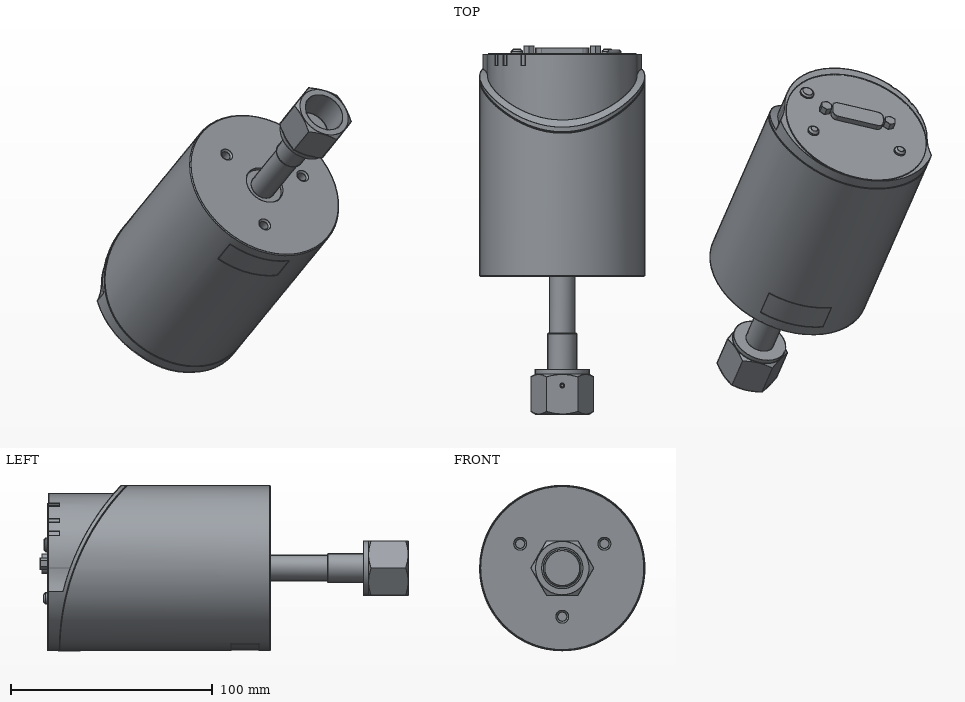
import cadquery as cq
import math


body_diameter = 82.0
body_radius = body_diameter / 2
cap_radius = 37.0
cap_rear = 110.0
flare_drop = 11.5
front_chamfer = 0.5
rim_arc_radius = 119.4
rim_arc_start = 106.6
rim_width = 1.8
seam_width = 0.4
seam_depth = 0.27

mount_hole_count = 3
mount_hole_diameter = 4.5
mount_hole_mouth = 6.4
mount_hole_circle = 48.2
mount_hole_depth = 7.3
recess_diameter = 20.0
recess_depth = 2.2

mark_angles = (27.8, 39.7, 58.4)
mark_length = 5.5
mark_width = 2.4
mark_depth = 0.4
label_start = 5.8
label_length = 13.7
label_width = 32.5
label_depth = 0.4

tube_diameter = 12.8
sleeve_diameter = 14.5
sleeve_front = 28.1
sleeve_chamfer = 0.4
collar_front = 46.0
collar_length = 2.4
nut_flats = 27.0
nut_tip = 68.3
bevel_diameter = 26.5
bevel_angle = 30.0
bore_diameter = 20.5
bore_depth = 16.5
gland_diameter = 18.8
gland_chamfer = 0.7
gland_height = 1.8
vent_diameter = 1.5
vent_mouth = 2.4
vent_depth = 2.2
vent_setback = 5.7

plate_radius = 36.5
plate_drop = 4.4
plate_thickness = 0.5
total_length = 182.5
connector_width = 26.3
connector_height = 9.7
connector_z = 2.2
connector_corner = 3.0
connector_length = 2.7
post_spacing = 33.0
post_corner_diameter = 5.8
screw_spacing = 45.0
screw_drop = 15.0
screw_diameter = 5.7
screw_height = 2.0
screw_edge = 1.1
button_x = 25.7
button_z = 11.5
button_diameter = 7.0
button_height = 1.6
button_edge = 1.0

plate_rear = cap_rear + plate_thickness
rear_end = total_length - nut_tip
post_length = rear_end - plate_rear


def plane_at(y):
    """Sketch plane facing +Y whose local axes are -X and Z."""
    return cq.Workplane(cq.Plane(origin=(0, y, 0), xDir=(-1, 0, 0), normal=(0, 1, 0)))


def cylinder(start, end, diameter):
    return plane_at(start).circle(diameter / 2).extrude(end - start)


def rim_drum(radius):
    """Cylinder along X whose curved side trims the body to its sloping rim."""
    center_y = rim_arc_start - rim_arc_radius
    width = 2 * body_diameter
    return (
        cq.Workplane("YZ", origin=(-width / 2, 0, 0))
        .center(center_y, -body_radius)
        .circle(radius)
        .extrude(width)
    )


def make_shell():
    return cylinder(0, cap_rear, body_diameter).faces("<Y").chamfer(front_chamfer)


def cap_relief():
    """Material behind the rim and around the cap, down to where the cap flares out to the body."""
    flare_half_width = math.sqrt(body_radius**2 - flare_drop**2)
    relief_size = body_diameter
    right_half = (
        cq.Workplane("XZ", origin=(0, cap_rear, 0))
        .moveTo(0, cap_radius)
        .radiusArc((cap_radius, 0), cap_radius)
        .tangentArcPoint((flare_half_width, -flare_drop), relative=False)
        .lineTo(relief_size, -flare_drop)
        .lineTo(relief_size, relief_size)
        .lineTo(0, relief_size)
        .close()
        .extrude(cap_rear)
    )
    return right_half.union(right_half.mirror("YZ")).cut(rim_drum(rim_arc_radius))


def seam_groove():
    outer_drum = rim_drum(rim_arc_radius - rim_width)
    inner_drum = rim_drum(rim_arc_radius - rim_width - seam_width)
    core = cylinder(0, cap_rear, 2 * (body_radius - seam_depth))
    return outer_drum.cut(inner_drum).cut(core)


def cap_marks():
    """Shallow bars cut into the upper left of the cap, open at its rear face."""
    marks = cq.Workplane("XY")
    for angle in mark_angles:
        bar = cq.Workplane("XY").box(2 * mark_depth, 2 * mark_length, mark_width)
        bar = bar.translate((-cap_radius, cap_rear, 0))
        marks = marks.union(bar.rotate((0, 0, 0), (0, 1, 0), angle))
    return marks


def label_recess():
    block = cq.Workplane("XY").box(label_width, label_length, body_radius)
    block = block.translate((0, label_start + label_length / 2, -body_radius))
    return block.cut(cylinder(0, cap_rear, 2 * (body_radius - label_depth)))


def countersunk_hole(start, depth, diameter, mouth):
    """Hole cutter whose mouth, at the lower Y end, is broken by a 45 degree cone."""
    cone = plane_at(start).circle(mouth / 2).extrude((mouth - diameter) / 2, taper=45)
    return cylinder(start, start + depth, diameter).union(cone)


def mount_holes():
    hole = countersunk_hole(0, mount_hole_depth, mount_hole_diameter, mount_hole_mouth)
    hole = hole.translate((0, 0, -mount_hole_circle / 2))
    holes = cq.Workplane("XY")
    for i in range(mount_hole_count):
        holes = holes.union(hole.rotate((0, 0, 0), (0, 1, 0), i * 360 / mount_hole_count))
    return holes


def make_body():
    body = make_shell().cut(cap_relief())
    body = body.cut(seam_groove())
    body = body.cut(cap_marks())
    body = body.cut(label_recess())
    body = body.cut(mount_holes())
    return body.cut(cylinder(0, recess_depth, recess_diameter))


def make_nut():
    """Hexagon with flats facing up and down and both ends bevelled by cones."""
    corner_diameter = nut_flats / math.cos(math.radians(30))
    bevel_length = (corner_diameter - bevel_diameter) / 2 * math.tan(math.radians(bevel_angle))
    nut_rear = -collar_front - collar_length
    bevelled_blank = (
        cq.Workplane("XY")
        .moveTo(0, -nut_tip)
        .lineTo(bevel_diameter / 2, -nut_tip)
        .lineTo(corner_diameter / 2, -nut_tip + bevel_length)
        .lineTo(corner_diameter / 2, nut_rear - bevel_length)
        .lineTo(bevel_diameter / 2, nut_rear)
        .lineTo(0, nut_rear)
        .close()
        .revolve(360, (0, 0, 0), (0, 1, 0))
    )
    hexagon = plane_at(-nut_tip).polygon(6, corner_diameter).extrude(nut_tip + nut_rear)
    return hexagon.intersect(bevelled_blank)


def make_fitting():
    sleeve = cylinder(-collar_front, -sleeve_front, sleeve_diameter)
    sleeve = sleeve.faces(">Y").chamfer(sleeve_chamfer)
    fitting = cylinder(-collar_front, recess_depth, tube_diameter).union(sleeve)
    fitting = fitting.union(cylinder(-collar_front - collar_length, -collar_front, nut_flats))
    fitting = fitting.union(make_nut())
    bore_floor = -nut_tip + bore_depth
    fitting = fitting.cut(cylinder(-nut_tip, bore_floor, bore_diameter))
    gland = cylinder(bore_floor - gland_height, bore_floor, gland_diameter)
    fitting = fitting.union(gland.faces("<Y").chamfer(gland_chamfer))
    vent = countersunk_hole(0, vent_depth, vent_diameter, vent_mouth)
    vent = vent.rotate((0, 0, 0), (1, 0, 0), -90)
    vent_y = -collar_front - collar_length - vent_setback
    return fitting.cut(vent.translate((0, vent_y, nut_flats / 2)))


def make_connector():
    """Rounded connector shell between two hexagonal jack posts."""
    connector = (
        plane_at(plate_rear)
        .center(0, connector_z)
        .rect(connector_width, connector_height)
        .extrude(connector_length)
        .edges("|Y")
        .fillet(connector_corner)
    )
    hexagon = plane_at(plate_rear).polygon(6, post_corner_diameter).extrude(post_length)
    post = hexagon.rotate((0, 0, 0), (0, 1, 0), 30)
    for x in (-post_spacing / 2, post_spacing / 2):
        connector = connector.union(post.translate((x, 0, connector_z)))
    return connector


def round_head(x, z, diameter, height, edge):
    head = cylinder(plate_rear, plate_rear + height, diameter).faces(">Y").chamfer(edge)
    return head.translate((x, 0, z))


def make_rear_hardware():
    plate = cylinder(cap_rear, plate_rear, 2 * plate_radius).translate((0, 0, -plate_drop))
    hardware = plate.union(make_connector())
    for x in (-screw_spacing / 2, screw_spacing / 2):
        hardware = hardware.union(round_head(x, -screw_drop, screw_diameter, screw_height, screw_edge))
    return hardware.union(round_head(button_x, button_z, button_diameter, button_height, button_edge))


result = make_body().union(make_fitting()).union(make_rear_hardware())